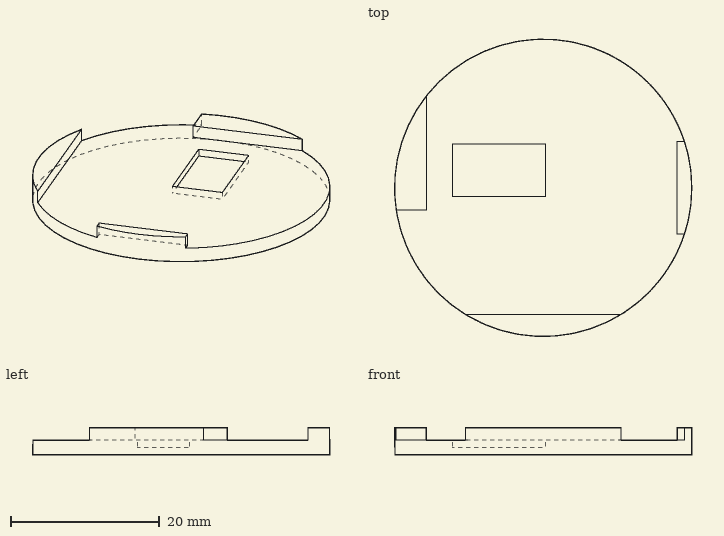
import cadquery as cq

disc_diameter = 40.0
disc_thickness = 2.0

total_height = 3.7
left_tab_inner_x = -15.7
left_tab_bottom_y = -2.95
right_tab_inner_x = 18.0
right_tab_width = 12.4
front_tab_inner_y = -17.05

pocket_length = 12.5
pocket_width = 7.0
pocket_center_x = -5.95
pocket_center_y = 2.35
pocket_depth = 1.0

disc_radius = disc_diameter / 2


def rim_tab(x_min, x_max, y_min, y_max):
    """Part of the disc outline inside a rectangle, raised above the top face."""
    block = cq.Workplane("XY").box(
        x_max - x_min, y_max - y_min, total_height, centered=False
    ).translate((x_min, y_min, 0))
    outline = cq.Workplane("XY").circle(disc_radius).extrude(total_height)
    return outline.intersect(block)


disc = cq.Workplane("XY").circle(disc_radius).extrude(disc_thickness)

left_tab = rim_tab(-disc_radius, left_tab_inner_x, left_tab_bottom_y, disc_radius)
right_tab = rim_tab(right_tab_inner_x, disc_radius, -right_tab_width / 2, right_tab_width / 2)
front_tab = rim_tab(-disc_radius, disc_radius, -disc_radius, front_tab_inner_y)

pocket = (
    cq.Workplane("XY", origin=(pocket_center_x, pocket_center_y, disc_thickness - pocket_depth))
    .rect(pocket_length, pocket_width)
    .extrude(pocket_depth)
)

result = disc.union(left_tab).union(right_tab).union(front_tab).cut(pocket)